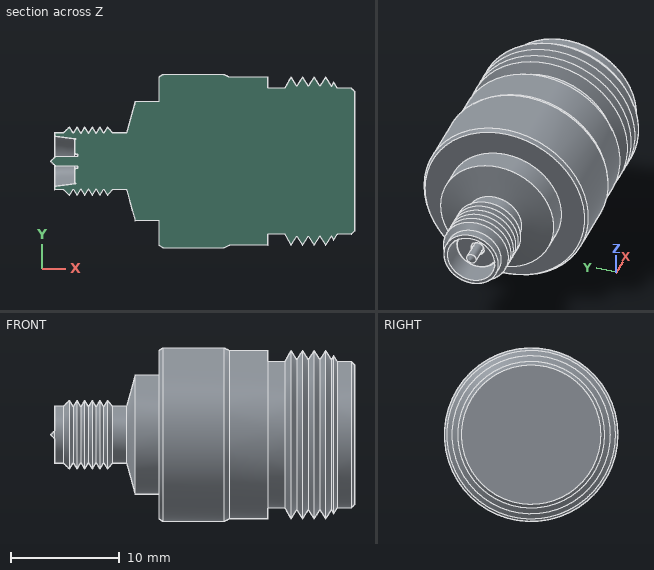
import cadquery as cq


length = 28.0

barrel_start = 0.35
barrel_dia = 5.3
small_crest_dia = 6.33
small_root_dia = 5.15
small_thread_start = 1.2
small_thread_end = 5.68
small_first_crest = 1.75
small_pitch = 0.7
small_crests = 6

cone_start = 7.0
collar_start = 7.78
collar_dia = 11.0
body_start = 9.97
body_end = 16.45
body_dia = 16.0
shoulder_dia = 15.5
shoulder_end = 20.0
front_chamfer_length = 0.35
rear_chamfer_length = 0.5

neck_dia = 13.5
large_crest_dia = 15.5
large_root_dia = 13.83
large_thread_start = 21.55
large_thread_end = 26.38
large_first_crest = 22.12
large_pitch = 1.05
large_crests = 4
runout_crest = 26.05
runout_crest_dia = 14.55
end_chamfer = 0.35

mouth_dia = 4.6
floor_dia = 4.12
insulator_face_dia = 3.92
socket_depth = 1.85
pin_dia = 0.92
pin_hole_dia = 1.3
pin_hole_depth = 0.28

socket_floor = barrel_start + socket_depth


def thread_ridges(first_crest, pitch, crests, crest_dia, root_dia):
    """Profile points of sharp ridges, with a root between neighbouring crests."""
    points = []
    for i in range(crests):
        crest = first_crest + i * pitch
        if i > 0:
            points.append((crest - pitch / 2, root_dia / 2))
        points.append((crest, crest_dia / 2))
    return points


def revolve(points):
    """Solid of revolution about X from (x, radius) points."""
    return cq.Workplane("XY").polyline(points).close().revolve(360, (0, 0, 0), (1, 0, 0))


def tube(start, depth, outer_dia, inner_dia):
    """Ring along X between two diameters."""
    ring = cq.Workplane("YZ", origin=(start, 0, 0)).circle(outer_dia / 2).circle(inner_dia / 2)
    return ring.extrude(depth)


def make_shell():
    """Outer form of the adapter."""
    small_thread = thread_ridges(
        small_first_crest, small_pitch, small_crests, small_crest_dia, small_root_dia
    )
    large_thread = thread_ridges(
        large_first_crest, large_pitch, large_crests, large_crest_dia, large_root_dia
    )
    last_root = large_first_crest + (large_crests - 0.5) * large_pitch
    return revolve([
        (barrel_start, 0),
        (barrel_start, barrel_dia / 2),
        (small_thread_start, barrel_dia / 2),
        *small_thread,
        (small_thread_end, barrel_dia / 2),
        (cone_start, barrel_dia / 2),
        (collar_start, collar_dia / 2),
        (body_start, collar_dia / 2),
        (body_start, shoulder_dia / 2),
        (body_start + front_chamfer_length, body_dia / 2),
        (body_end - rear_chamfer_length, body_dia / 2),
        (body_end, shoulder_dia / 2),
        (shoulder_end, shoulder_dia / 2),
        (shoulder_end, neck_dia / 2),
        (large_thread_start, neck_dia / 2),
        *large_thread,
        (last_root, large_root_dia / 2),
        (runout_crest, runout_crest_dia / 2),
        (large_thread_end, neck_dia / 2),
        (length - end_chamfer, neck_dia / 2),
        (length, neck_dia / 2 - end_chamfer),
        (length, 0),
    ])


def make_socket():
    """Tapered socket in the barrel."""
    return revolve([
        (barrel_start, 0),
        (barrel_start, mouth_dia / 2),
        (socket_floor, floor_dia / 2),
        (socket_floor, 0),
    ])


def make_insulator_bevel():
    """Cutter that bevels the rim of the insulator face at 45 degrees."""
    bevel = (floor_dia - insulator_face_dia) / 2
    return revolve([
        (socket_floor, insulator_face_dia / 2),
        (socket_floor, floor_dia / 2),
        (socket_floor + bevel, floor_dia / 2),
    ])


def make_pin():
    """Centre pin with a 45 degree point, rooted below the socket floor."""
    pin_radius = pin_dia / 2
    pin_root = socket_floor + pin_hole_depth
    return revolve([
        (0, 0),
        (pin_radius, pin_radius),
        (pin_root, pin_radius),
        (pin_root, 0),
    ])


pin_clearance = tube(socket_floor, pin_hole_depth, pin_hole_dia, pin_dia)

result = make_shell().cut(make_socket()).union(make_pin())
result = result.cut(make_insulator_bevel()).cut(pin_clearance)